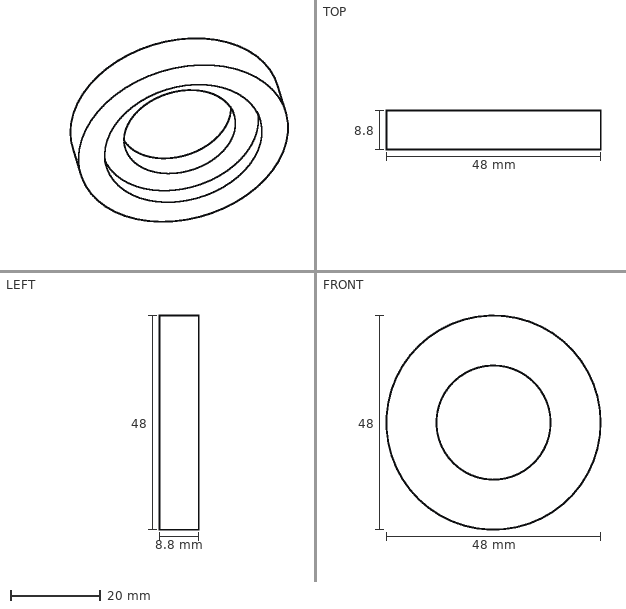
import cadquery as cq

outer_diameter = 48.0
thickness = 8.8

bore_diameter = 25.5
bore_length = 5.0
recess_diameter = 36.0
recess_depth = thickness - bore_length

front_y = -thickness / 2
back_y = thickness / 2


def cylinder_along_y(diameter, start_y, length):
    """Cylinder on the Y axis, running toward +Y from start_y."""
    return cq.Workplane("XZ", origin=(0, start_y, 0)).circle(diameter / 2).extrude(-length)


def make_disc():
    return cylinder_along_y(outer_diameter, front_y, thickness)


def make_bore():
    return cylinder_along_y(bore_diameter, front_y, thickness)


def make_back_recess():
    return cylinder_along_y(recess_diameter, back_y - recess_depth, recess_depth)


result = make_disc().cut(make_bore()).cut(make_back_recess())